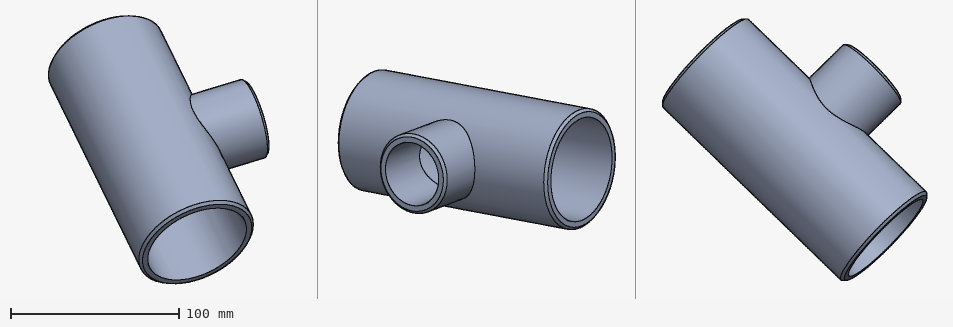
import cadquery as cq

run_length = 152.4
run_diameter = 73.0
wall = 5.0

branch_diameter = 48.8
branch_reach = 103.0 - run_diameter / 2

end_chamfer = 1.7


def run_cylinder(diameter):
    """Cylinder along X, centred on the origin."""
    return cq.Workplane("YZ").circle(diameter / 2).extrude(run_length / 2, both=True)


def branch_cylinder(diameter):
    """Cylinder along +Y, starting on the run axis."""
    return cq.Workplane("XZ").circle(diameter / 2).extrude(-branch_reach)


run = run_cylinder(run_diameter).faces("<X or >X").chamfer(end_chamfer)
branch = branch_cylinder(branch_diameter).faces(">Y").chamfer(end_chamfer)

run_bore = run_cylinder(run_diameter - 2 * wall)
branch_bore = branch_cylinder(branch_diameter - 2 * wall)

result = run.union(branch).cut(run_bore).cut(branch_bore)